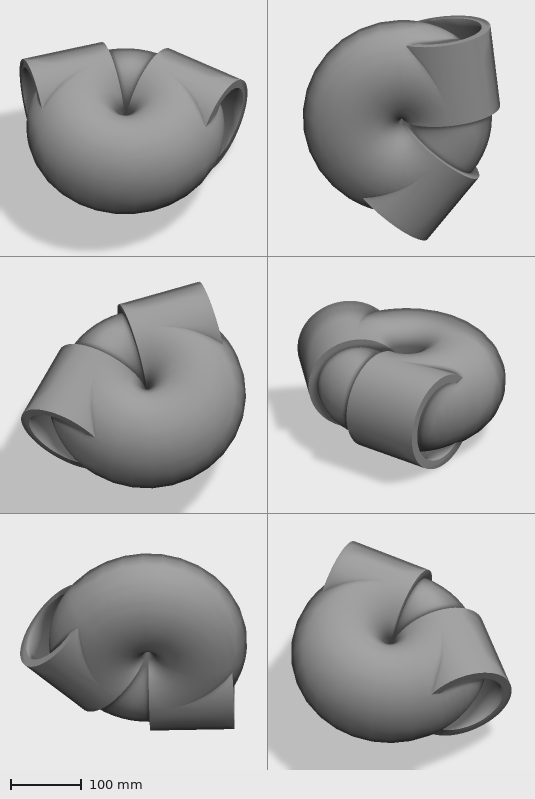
import cadquery as cq

socket_diameter = 140.0
bore_diameter = 115.2
ring_diameter = 139.7
bend_radius = 70.2
near_socket_length = 116.5
far_socket_length = 119.0
bend_angle = 45.0
ring_angle = 360.0 - bend_angle


def bend(diameter, angle):
    """Solid bend from -X, turning counterclockwise about Z by the angle."""
    return (
        cq.Workplane("XZ")
        .center(-bend_radius, 0)
        .circle(diameter / 2)
        .revolve(angle, (bend_radius, 0, 0), (bend_radius, 1, 0))
    )


def straight_socket(length):
    """Open tube leaving the -X end of the bend towards -Y."""
    return (
        cq.Workplane("XZ")
        .center(-bend_radius, 0)
        .circle(socket_diameter / 2)
        .circle(bore_diameter / 2)
        .extrude(length)
    )


def turn_to_far_end(body):
    """Turn a body about Z from -X to the far end of the short bend."""
    return body.rotate((0, 0, 0), (0, 0, 1), -bend_angle)


short_bend = turn_to_far_end(bend(bore_diameter, bend_angle))
near_socket = straight_socket(near_socket_length)
far_socket = turn_to_far_end(straight_socket(far_socket_length).mirror("XZ"))

ring = bend(ring_diameter, ring_angle)

result = short_bend.union(near_socket).union(far_socket).union(ring)